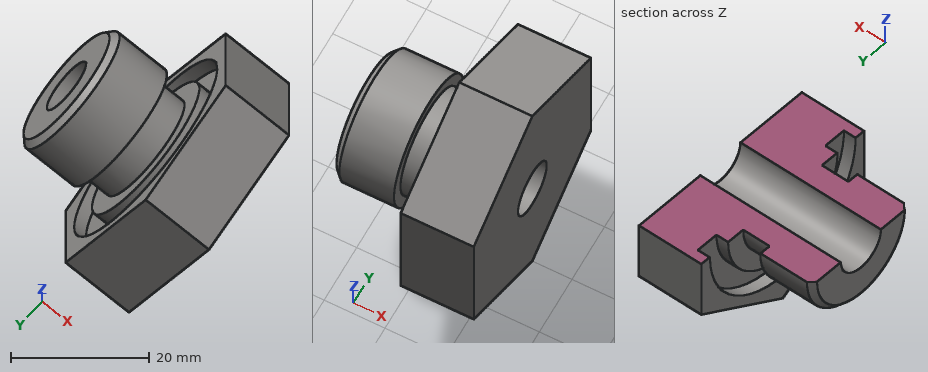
import cadquery as cq
import math

total_length = 27.0
hex_across_corners = 41.55
hex_length = 12.0
hex_face_x = total_length - hex_length

spigot_diameter = 21.45
spigot_length = 10.0
spigot_chamfer = 1.05
neck_diameter = 17.5

bore_diameter = 8.8
groove_outer_diameter = 32.18
groove_inner_diameter = 24.15
groove_depth = 2.25


def cylinder(diameter, start_x, length):
    """Solid cylinder on the X axis."""
    return cq.Workplane("YZ", origin=(start_x, 0, 0)).circle(diameter / 2).extrude(length)


def hexagon_head():
    """Hexagonal prism with two corners on the Z axis."""
    radius = hex_across_corners / 2
    half_flats = radius * math.cos(math.radians(30))
    corners = [
        (0, radius),
        (half_flats, radius / 2),
        (half_flats, -radius / 2),
        (0, -radius),
        (-half_flats, -radius / 2),
        (-half_flats, radius / 2),
    ]
    return cq.Workplane("YZ", origin=(hex_face_x, 0, 0)).polyline(corners).close().extrude(hex_length)


def ring_groove():
    """Annular cut that sinks into the hexagon face around the neck."""
    outer = cylinder(groove_outer_diameter, hex_face_x, groove_depth)
    return outer.cut(cylinder(groove_inner_diameter, hex_face_x, groove_depth))


spigot = cylinder(spigot_diameter, 0, spigot_length).faces("<X").chamfer(spigot_chamfer)
neck = cylinder(neck_diameter, spigot_length, hex_face_x - spigot_length)
bore = cylinder(bore_diameter, 0, total_length)

result = hexagon_head().union(neck).union(spigot).cut(ring_groove()).cut(bore)